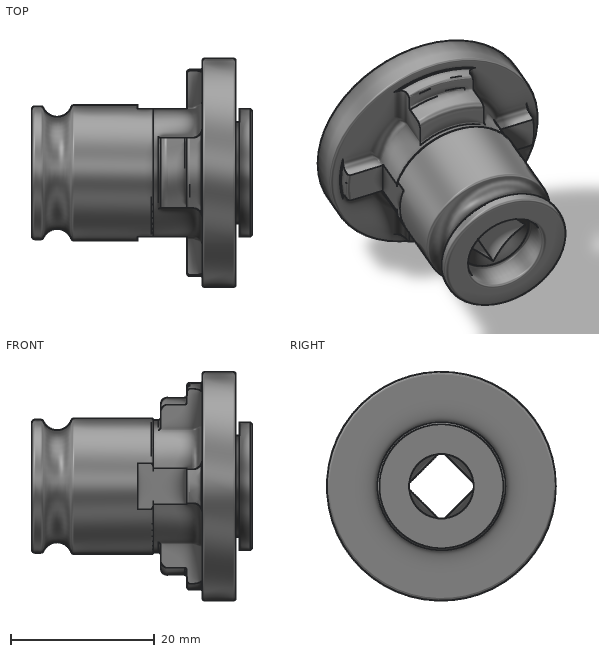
import cadquery as cq
import math

groove_x = 3.55
flat_start_x = 14.8
sleeve_end_x = 17.0
z_lug_face_x = 18.0
lug_step_x = 21.65
flange_face_x = 23.8
flange_back_x = 28.5
collar_x = 29.0
total_length = 30.8

lip_radius = 18.65 / 2
groove_arc_radius = 2.1
groove_bottom_radius = 7.85
sleeve_radius = 19.0 / 2
neck_radius = 18.55 / 2
flange_radius = 32.0 / 2
undercut_radius = 14.2 / 2
collar_radius = 17.9 / 2

lug_outer_radius = 28.9 / 2
z_lug_front_radius = 24.8 / 2
z_lug_half_width = 4.9
y_lug_half_width = 2.35
flat_half_span = collar_radius

bore_radius = 11.4 / 2
bore_depth = 4.15
bore_cone_radius = 5.35
cone_half_angle = math.radians(67)
square_side = 7.0
square_turn = 45
square_end_x = 20.0
rear_hole_radius = 9.0 / 2

edge_round = 0.5
bore_mouth_round = 0.5
sleeve_end_round = 0.3
flange_round = 0.4
z_lug_nose_round = 1.0
z_lug_corner_round = 0.3
lug_step_round = 0.45
lug_foot_round = 0.3
flange_foot_round = 1.35
lug_end_round = 0.15
collar_chamfer = 0.3

match_tolerance = 0.001


def is_close(first, second):
    return abs(first - second) < match_tolerance


def lies_at(edge, x):
    """True for an edge lying wholly in the plane at station x."""
    box = edge.BoundingBox()
    return is_close(box.xmin, x) and is_close(box.xmax, x)


def distance_from_axis(edge):
    """Distance of the edge's mid-point from the X axis."""
    middle = edge.positionAt(0.5)
    return math.hypot(middle.y, middle.z)


def groove_blend(rim_radius, side):
    """Round joining the groove arc to a rim: points (rim tangent, middle, groove tangent)."""
    groove_centre_radius = groove_bottom_radius + groove_arc_radius
    centre_radius = rim_radius - edge_round
    rise = groove_centre_radius - centre_radius
    reach = groove_arc_radius + edge_round
    run = math.sqrt(reach**2 - rise**2)
    centre_x = groove_x + side * run
    share = groove_arc_radius / reach
    on_groove = (groove_x + side * run * share, groove_centre_radius - rise * share)
    half_angle = (math.pi / 2 - math.atan2(rise, run)) / 2
    middle = (
        centre_x - side * edge_round * math.sin(half_angle),
        centre_radius + edge_round * math.cos(half_angle),
    )
    return (centre_x, rim_radius), middle, on_groove


def quarter_middle(centre_x, centre_radius, radius, x_sign):
    """Mid-point of a convex quarter round facing outward and toward x_sign."""
    offset = radius * math.sqrt(0.5)
    return centre_x + x_sign * offset, centre_radius + offset


def turned_body():
    """Lip, groove, sleeve, neck, flange and rear collar as one solid of revolution."""
    lip_rim, lip_middle, lip_foot = groove_blend(lip_radius, -1)
    sleeve_rim, sleeve_middle, sleeve_foot = groove_blend(sleeve_radius, 1)
    profile = (
        cq.Workplane("XY")
        .moveTo(0, 0)
        .lineTo(0, lip_radius - edge_round)
        .threePointArc(
            quarter_middle(edge_round, lip_radius - edge_round, edge_round, -1),
            (edge_round, lip_radius),
        )
        .lineTo(*lip_rim)
        .threePointArc(lip_middle, lip_foot)
        .threePointArc((groove_x, groove_bottom_radius), sleeve_foot)
        .threePointArc(sleeve_middle, sleeve_rim)
        .lineTo(sleeve_end_x - sleeve_end_round, sleeve_radius)
        .threePointArc(
            quarter_middle(
                sleeve_end_x - sleeve_end_round,
                sleeve_radius - sleeve_end_round,
                sleeve_end_round,
                1,
            ),
            (sleeve_end_x, sleeve_radius - sleeve_end_round),
        )
        .lineTo(sleeve_end_x, neck_radius)
        .lineTo(flange_face_x, neck_radius)
        .lineTo(flange_face_x, flange_radius)
        .lineTo(flange_back_x, flange_radius)
        .lineTo(flange_back_x, undercut_radius)
        .lineTo(collar_x, undercut_radius)
        .lineTo(collar_x, collar_radius)
        .lineTo(total_length - collar_chamfer, collar_radius)
        .lineTo(total_length, collar_radius - collar_chamfer)
        .lineTo(total_length, 0)
        .close()
    )
    body = profile.revolve(360, (0, 0, 0), (1, 0, 0))
    flange_rims = cq.selectors.RadiusNthSelector(-1)
    return body.edges(flange_rims).fillet(flange_round)


def disc(start_x, end_x, radius):
    return cq.Workplane("YZ", origin=(start_x, 0, 0)).circle(radius).extrude(end_x - start_x)


def bar(start_x, end_x, y_width, z_width):
    return cq.Workplane("YZ", origin=(start_x, 0, 0)).rect(y_width, z_width).extrude(end_x - start_x)


def lug_step():
    """Low outer step, shared by all four lugs, before it is trimmed to their widths."""
    return disc(lug_step_x, flange_face_x, lug_outer_radius).faces("<X").edges().fillet(lug_step_round)


def z_lugs():
    nose = disc(z_lug_face_x, flange_face_x, z_lug_front_radius)
    nose = nose.faces("<X").edges().fillet(z_lug_nose_round)
    stack = nose.union(lug_step())
    inner_corner = [
        edge
        for edge in stack.edges("%CIRCLE").vals()
        if lies_at(edge, lug_step_x) and is_close(distance_from_axis(edge), z_lug_front_radius)
    ]
    stack = stack.newObject(inner_corner).fillet(z_lug_corner_round)
    return stack.intersect(bar(z_lug_face_x, flange_face_x, 2 * z_lug_half_width, 2 * flange_radius))


def y_lugs():
    nose = disc(sleeve_end_x, flange_face_x, sleeve_radius)
    stack = nose.union(lug_step())
    return stack.intersect(bar(sleeve_end_x, flange_face_x, 2 * flange_radius, 2 * y_lug_half_width))


def round_lug_feet(body):
    """Round where the lugs stand on the neck: their long sides and the noses of the Z lugs."""
    on_neck = [edge for edge in body.edges().vals() if is_close(distance_from_axis(edge), neck_radius)]
    noses = [edge for edge in on_neck if lies_at(edge, z_lug_face_x)]
    long_sides = [edge for edge in on_neck if edge.geomType() == "LINE"]
    return body.newObject(noses + long_sides).fillet(lug_foot_round)


def round_flange_foot(body):
    """Round where the neck and the lug sides run into the flange face."""
    foot = [
        edge
        for edge in body.edges().vals()
        if lies_at(edge, flange_face_x) and distance_from_axis(edge) < lug_outer_radius - match_tolerance
    ]
    return body.newObject(foot).fillet(flange_foot_round)


def round_lug_ends(body):
    """Small round where the outer ends of the lugs meet the flange face."""
    ends = [
        edge
        for edge in body.edges().vals()
        if lies_at(edge, flange_face_x) and is_close(distance_from_axis(edge), lug_outer_radius)
    ]
    return body.newObject(ends).fillet(lug_end_round)


def cut_flats(body):
    """Trim the sleeve end and the inner part of the Y lugs to a pair of flats."""
    cutter_height = flange_radius - flat_half_span
    for side in (-1, 1):
        cutter = bar(flat_start_x, lug_step_x, cutter_height, 2 * z_lug_half_width)
        body = body.cut(cutter.translate((0, side * (flat_half_span + cutter_height / 2), 0)))
    return body


def bore_cutter():
    """Round-mouthed bore with a rounded floor edge and a conical floor."""
    cone_depth = bore_cone_radius / math.tan(cone_half_angle)
    floor_round = bore_radius - bore_cone_radius
    mouth_offset = bore_mouth_round * (1 - math.sqrt(0.5))
    profile = (
        cq.Workplane("XY")
        .moveTo(0, 0)
        .lineTo(0, bore_radius + bore_mouth_round)
        .threePointArc((mouth_offset, bore_radius + mouth_offset), (bore_mouth_round, bore_radius))
        .lineTo(bore_depth - floor_round, bore_radius)
        .threePointArc(
            quarter_middle(bore_depth - floor_round, bore_cone_radius, floor_round, 1),
            (bore_depth, bore_cone_radius),
        )
        .lineTo(bore_depth + cone_depth, 0)
        .close()
    )
    return profile.revolve(360, (0, 0, 0), (1, 0, 0))


def square_cutter():
    square = bar(bore_depth, square_end_x, square_side, square_side)
    return square.rotate((0, 0, 0), (1, 0, 0), square_turn)


body = turned_body().union(z_lugs()).union(y_lugs())
body = round_lug_feet(body)
body = round_flange_foot(body)
body = round_lug_ends(body)
body = cut_flats(body)
body = body.cut(bore_cutter()).cut(square_cutter())
result = body.cut(disc(square_end_x, total_length, rear_hole_radius))